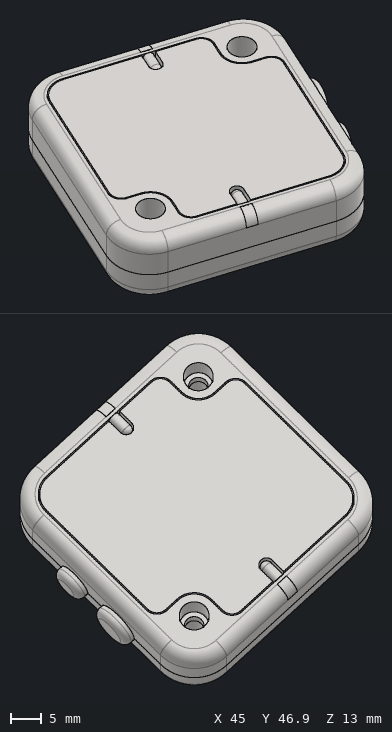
import cadquery as cq

overall_y = 46.85
case_width = 44.95
case_height = 12.95
corner_radius = 7.6
edge_radius = 2.55
split_height = 5.85

screw_offset = 14.5
screw_diameter = 3.2
counterbore_diameter = 4.85
counterbore_depth = 5.0

recess_width = 38.65
recess_corner_radius = 4.2
recess_boss_radius = 3.75
recess_blend_radius = 2.35
recess_depth = edge_radius
cover_gap = 0.25

pin_radius = 1.05
pin_drop = 0.05
pin_tip = 15.3
pin_slot_gap = 0.2

button_protrusion = overall_y - case_width
button_seat_depth = 1.87
button_edge_radius = 1.2
buttons = [(-5.0, 7.55), (5.1, 6.1)]

half_case = case_width / 2
pin_axis_height = case_height - pin_drop - pin_radius
pin_dome_centre = pin_tip + pin_radius
pin_block_end = half_case - edge_radius
recess_floor = case_height - recess_depth
screw_points = [(-screw_offset, screw_offset), (screw_offset, -screw_offset)]


def make_envelope():
    """Rounded outer shape of both shells together."""
    block = cq.Workplane("XY").rect(case_width, case_width).extrude(case_height)
    return block.edges("|Z").fillet(corner_radius).faces("<Z or >Z").edges().fillet(edge_radius)


def make_cover_shape(inset):
    """Square plate with two opposite corners notched around the screw bosses.

    The inset shrinks the recess outline evenly, so arcs keep their centres.
    """
    width = recess_width - 2 * inset
    boss_radius = recess_boss_radius + inset
    blend_radius = recess_blend_radius - inset
    notch_edge = screw_offset - boss_radius
    notch_size = width / 2 - notch_edge
    plate = cq.Workplane("XY", origin=(0, 0, recess_floor)).rect(width, width).extrude(recess_depth)
    plate = plate.edges("|Z").edges(">(1, 1, 0) or <(1, 1, 0)").fillet(recess_corner_radius - inset)
    for side in (-1, 1):
        middle = side * (notch_edge + notch_size / 2)
        inner_corner = (side * notch_edge, -side * notch_edge, recess_floor)
        notch = (
            cq.Workplane("XY", origin=(middle, -middle, recess_floor))
            .rect(notch_size, notch_size)
            .extrude(recess_depth)
            .edges("|Z")
            .edges(cq.selectors.NearestToPointSelector(inner_corner))
            .fillet(boss_radius)
        )
        plate = plate.cut(notch)
        for corner in ((width / 2, notch_edge), (notch_edge, width / 2)):
            point = (side * corner[0], -side * corner[1], recess_floor + recess_depth / 2)
            plate = plate.edges(cq.selectors.NearestToPointSelector(point)).fillet(blend_radius)
    return plate


def make_bar(side):
    """Round bar along X with a domed inner end, reaching the pin block."""
    origin = (side * pin_dome_centre, 0, pin_axis_height)
    length = pin_block_end - pin_dome_centre
    bar = cq.Workplane("YZ", origin=origin).circle(pin_radius).extrude(side * length)
    return bar.union(cq.Workplane("XY", origin=origin).sphere(pin_radius))


def make_pin(envelope, side):
    """Side pin: domed bar under the rim and a block that carries on the rim rounding."""
    block = (
        cq.Workplane("XY", origin=(side * (half_case - edge_radius / 2), 0, case_height - edge_radius / 2))
        .box(edge_radius, 2 * pin_radius, edge_radius)
        .intersect(envelope)
    )
    return make_bar(side).union(block)


def make_pin_slot(side):
    """Round-ended slot through the cover plate that clears one pin."""
    radius = pin_radius + pin_slot_gap
    length = half_case - pin_dome_centre
    end = (
        cq.Workplane("XY", origin=(side * pin_dome_centre, 0, recess_floor))
        .circle(radius)
        .extrude(recess_depth)
    )
    sides = (
        cq.Workplane("XY", origin=(side * (pin_dome_centre + length / 2), 0, recess_floor))
        .rect(length, 2 * radius)
        .extrude(recess_depth)
    )
    return end.union(sides)


def make_button(x, diameter):
    """Round button with a rounded outer edge, seated in the +Y wall at the shell joint."""
    seat = half_case - button_seat_depth
    return (
        cq.Workplane("XZ", origin=(x, seat, split_height))
        .circle(diameter / 2)
        .extrude(-(button_seat_depth + button_protrusion))
        .faces(">Y")
        .edges()
        .fillet(button_edge_radius)
    )


def make_screw_cutter(base, diameter):
    """Cylinders at both screw positions, from the given height up past the top face."""
    points = cq.Workplane("XY", origin=(0, 0, base)).pushPoints(screw_points)
    return points.circle(diameter / 2).extrude(case_height)


envelope = make_envelope()
push_buttons = [make_button(x, diameter) for x, diameter in buttons]
pins = [make_pin(envelope, side) for side in (-1, 1)]

case = envelope.cut(make_screw_cutter(0, screw_diameter))
case = case.cut(make_screw_cutter(case_height - counterbore_depth, counterbore_diameter))
case = case.cut(make_cover_shape(0))
for fitted in push_buttons + pins:
    case = case.cut(fitted)
lower_half = cq.Workplane("XY").rect(case_width, case_width).extrude(split_height)
lower_shell = case.intersect(lower_half)
upper_shell = case.cut(lower_half)

cover = make_cover_shape(cover_gap)
for side in (-1, 1):
    cover = cover.cut(make_pin_slot(side))

result = cq.Compound.makeCompound(
    [lower_shell.val(), upper_shell.val(), cover.val()]
    + [button.val() for button in push_buttons]
    + [pin.val() for pin in pins]
)